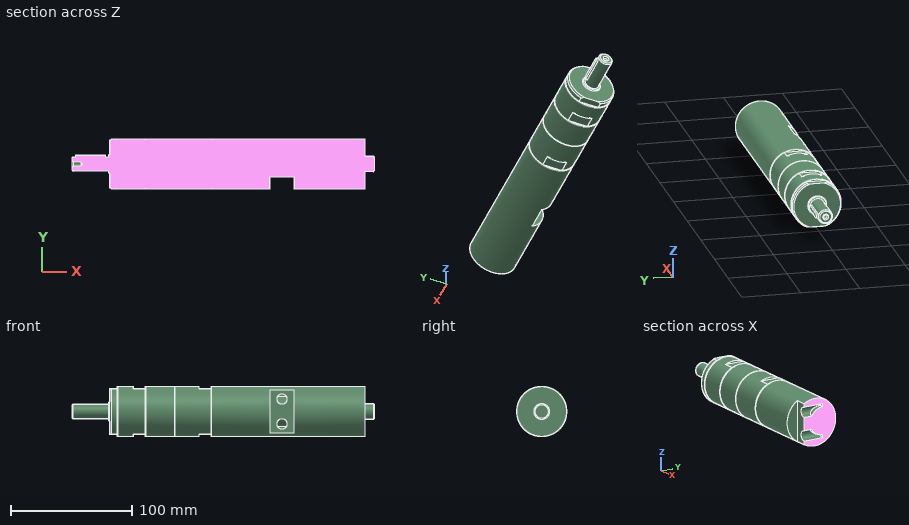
import cadquery as cq
import math

total_length = 250.2
left_end = -total_length / 2

collar_start = 30.3
body_start = 31.3
front_ring_end = 37.3
middle_ring_start = 50.8
middle_ring_end = 60.5
joint_groove_center = 85.0
rear_ring_start = 105.0
rear_ring_end = 114.8
body_end = 242.2

shaft_diameter = 12.0
collar_tip_diameter = 15.0
collar_base_diameter = 16.0
front_face_diameter = 39.5
body_diameter = 41.5
rear_stub_diameter = 13.0

shaft_chamfer = 1.0
front_chamfer_length = 1.5
stub_chamfer = 1.0
joint_width = 0.5
joint_depth = 0.13
shoulder_diameter = 41.0
shoulder_chamfer_length = 0.8

flat_spacing = 37.8

key_start = 3.0
key_length = 25.0
key_width = 4.0
key_top = 7.3

center_hole_diameter = 3.3
center_hole_depth = 7.5
countersink_diameter = 5.0
countersink_angle = 60.0
drill_tip_angle = 118.0

notch_start = 163.6
notch_length = 20.0
notch_floor = 10.8
port_diameter = 8.5
port_offset = 10.3
core_diameter = 24.5
core_axis_y = 7.5


def station(distance):
    """X coordinate of a station measured from the shaft tip."""
    return left_end + distance


def shoulder(distance):
    """Profile points where a ring meets the chamfered edge of the next section."""
    return [
        (distance, body_diameter / 2),
        (distance, shoulder_diameter / 2),
        (distance + shoulder_chamfer_length, body_diameter / 2),
    ]


def turned_blank():
    body_radius = body_diameter / 2
    shaft_radius = shaft_diameter / 2
    stub_radius = rear_stub_diameter / 2
    profile = [
        (0, 0),
        (0, shaft_radius - shaft_chamfer),
        (shaft_chamfer, shaft_radius),
        (collar_start, shaft_radius),
        (collar_start, collar_tip_diameter / 2),
        (body_start, collar_base_diameter / 2),
        (body_start, front_face_diameter / 2),
        (body_start + front_chamfer_length, body_radius),
        *shoulder(front_ring_end),
        *shoulder(middle_ring_end),
        (joint_groove_center - joint_width / 2, body_radius),
        (joint_groove_center, body_radius - joint_depth),
        (joint_groove_center + joint_width / 2, body_radius),
        *shoulder(rear_ring_end),
        (body_end, body_radius),
        (body_end, stub_radius),
        (total_length - stub_chamfer, stub_radius),
        (total_length, stub_radius - stub_chamfer),
        (total_length, 0),
    ]
    points = [(station(distance), radius) for distance, radius in profile]
    return cq.Workplane("XY").polyline(points).close().revolve(360, (0, 0, 0), (1, 0, 0))


def flats_cutter(start, end):
    """Material outside the pair of wrench flats between two stations."""
    length = end - start
    keep = cq.Workplane("XY").box(length, body_diameter, flat_spacing)
    around = cq.Workplane("XY").box(length, body_diameter, 2 * body_diameter)
    return around.cut(keep).translate((station((start + end) / 2), 0, 0))


def shaft_key():
    key_center = station(key_start + key_length / 2)
    return (
        cq.Workplane("XZ", origin=(key_center, 0, 0))
        .slot2D(key_length, key_width)
        .extrude(-key_top)
    )


def center_hole():
    sink_depth = (countersink_diameter - center_hole_diameter) / 2
    sink_depth /= math.tan(math.radians(countersink_angle / 2))
    tip_depth = center_hole_diameter / 2 / math.tan(math.radians(drill_tip_angle / 2))
    points = [
        (left_end, 0),
        (left_end, countersink_diameter / 2),
        (left_end + sink_depth, center_hole_diameter / 2),
        (left_end + center_hole_depth, center_hole_diameter / 2),
        (left_end + center_hole_depth + tip_depth, 0),
    ]
    return cq.Workplane("XY").polyline(points).close().revolve(360, (0, 0, 0), (1, 0, 0))


def port_notch():
    depth = body_diameter / 2
    return (
        cq.Workplane("XY")
        .box(notch_length, depth, body_diameter)
        .translate((station(notch_start + notch_length / 2), -notch_floor - depth / 2, 0))
    )


def port_holes():
    """Two bores along Y down to the core axis, leaving the round core standing at their ends."""
    bores = (
        cq.Workplane("XZ", origin=(station(notch_start + notch_length / 2), core_axis_y, 0))
        .pushPoints([(0, port_offset), (0, -port_offset)])
        .circle(port_diameter / 2)
        .extrude(core_axis_y + body_diameter / 2)
    )
    core = (
        cq.Workplane("YZ", origin=(station(notch_start), core_axis_y, 0))
        .circle(core_diameter / 2)
        .extrude(notch_length)
    )
    return bores.cut(core)


result = turned_blank().union(shaft_key())
for ring_start, ring_end in [
    (body_start, front_ring_end),
    (middle_ring_start, middle_ring_end),
    (rear_ring_start, rear_ring_end),
]:
    result = result.cut(flats_cutter(ring_start, ring_end))
for cutter in (center_hole(), port_notch(), port_holes()):
    result = result.cut(cutter)